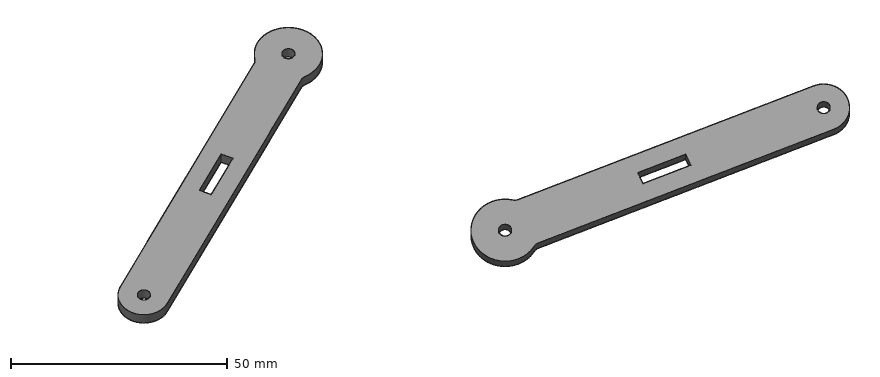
import cadquery as cq

thickness = 3.0
hole_spacing = 80.0
bar_width = 12.0
head_diameter = 15.8
hole_diameter = 3.0
slot_width = 3.0
slot_length = 12.0
neck_fillet_radius = 2.0

head_y = hole_spacing / 2
tail_y = -hole_spacing / 2


def make_body():
    """Flat bar with a round tail and a larger round head, blended at the neck."""
    bar = cq.Workplane("XY").rect(bar_width, hole_spacing).extrude(thickness)
    tail = cq.Workplane("XY").center(0, tail_y).circle(bar_width / 2).extrude(thickness)
    head = cq.Workplane("XY").center(0, head_y).circle(head_diameter / 2).extrude(thickness)
    body = bar.union(tail).union(head)
    neck_box = cq.selectors.BoxSelector(
        (-bar_width, head_y - head_diameter / 2, -thickness),
        (bar_width, head_y - hole_diameter / 2, 2 * thickness),
    )
    return body.edges("|Z").edges(neck_box).fillet(neck_fillet_radius)


def cut_holes(body):
    """Through hole at the centre of each rounded end."""
    holes = (
        cq.Workplane("XY")
        .pushPoints([(0, head_y), (0, tail_y)])
        .circle(hole_diameter / 2)
        .extrude(thickness)
    )
    return body.cut(holes)


def cut_slot(body):
    """Rectangular through slot midway between the holes."""
    slot = cq.Workplane("XY").rect(slot_width, slot_length).extrude(thickness)
    return body.cut(slot)


result = cut_slot(cut_holes(make_body()))